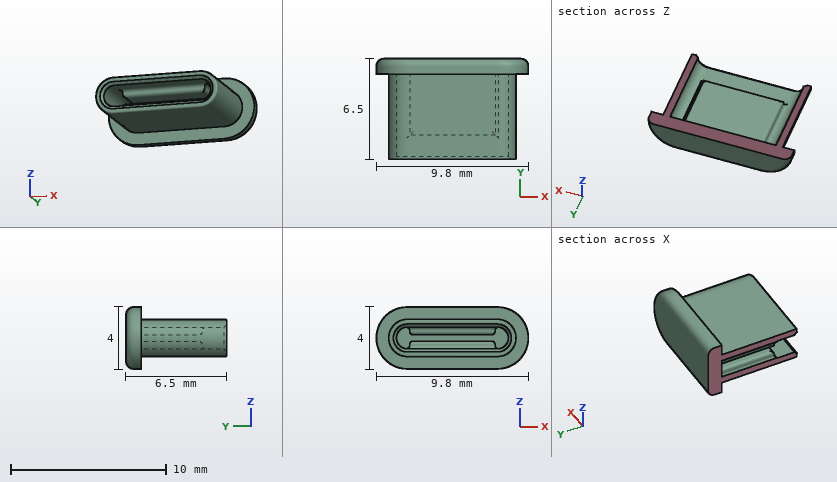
import cadquery as cq
import math

straight_length = 5.8

cap_height = 4.0
cap_thickness = 1.0
cap_edge_radius = 0.5

body_height = 2.4
body_length = 5.5
body_edge_radius = 0.1
mouth_y = -body_length

wall_thickness = 0.5
mouth_chamfer = 0.2
mouth_taper_angle = 45
cavity_height = body_height - 2 * wall_thickness
mouth_height = cavity_height + 2 * mouth_chamfer
cavity_depth = body_length

rib_gap = 0.4
rib_width = 5.5
rib_root_radius = 0.23
rib_crest_radius = 0.23
rib_front_offset = 1.6
rib_height = (cavity_height - rib_gap) / 2
rib_front_y = mouth_y + rib_front_offset
rib_base_thickness = wall_thickness / 2

rib_back_y = mouth_y + cavity_depth + rib_crest_radius
rib_depth = rib_back_y - rib_front_y
rib_center_y = (rib_front_y + rib_back_y) / 2


def slot_prism(height, start_y, length, taper=0):
    """Slot outline of the given height, extruded toward +Y from start_y."""
    return (
        cq.Workplane("XZ", origin=(0, start_y, 0))
        .slot2D(straight_length + height, height)
        .extrude(-length, taper=taper)
    )


def make_cap():
    cap = slot_prism(cap_height, 0, cap_thickness)
    return cap.faces(">Y").edges().fillet(cap_edge_radius)


def make_body():
    body = slot_prism(body_height, mouth_y, body_length)
    return body.faces("<Y").edges().fillet(body_edge_radius)


def make_cavity():
    """Cavity cutter, tapered outward at the mouth."""
    bore = slot_prism(cavity_height, mouth_y, cavity_depth)
    mouth = slot_prism(mouth_height, mouth_y, mouth_chamfer, mouth_taper_angle)
    return bore.union(mouth)


def rib_section(plane, span):
    """Closed outline of the lower rib across one direction: flared root, flat flanks, rounded crest.

    Local X runs along the span, local Y is Z, and the base is buried in the cavity wall.
    """
    half_span = span / 2
    half_root = half_span + rib_root_radius
    half_crest = half_span - rib_crest_radius
    wall_z = -cavity_height / 2
    crest_z = wall_z + rib_height
    root_top_z = wall_z + rib_root_radius
    crest_start_z = crest_z - rib_crest_radius
    base_z = wall_z - rib_base_thickness

    diagonal = math.sqrt(0.5)
    root_mid_x = half_root - rib_root_radius * diagonal
    root_mid_z = root_top_z - rib_root_radius * diagonal
    crest_mid_x = half_crest + rib_crest_radius * diagonal
    crest_mid_z = crest_start_z + rib_crest_radius * diagonal

    return (
        plane.moveTo(-half_root, base_z)
        .lineTo(half_root, base_z)
        .lineTo(half_root, wall_z)
        .threePointArc((root_mid_x, root_mid_z), (half_span, root_top_z))
        .lineTo(half_span, crest_start_z)
        .threePointArc((crest_mid_x, crest_mid_z), (half_crest, crest_z))
        .lineTo(-half_crest, crest_z)
        .threePointArc((-crest_mid_x, crest_mid_z), (-half_span, crest_start_z))
        .lineTo(-half_span, root_top_z)
        .threePointArc((-root_mid_x, root_mid_z), (-half_root, wall_z))
        .close()
    )


def make_lower_rib():
    """Intersect the sections along X and along Y, so their rounded edges meet in mitres."""
    center = (0, rib_center_y, 0)
    half_width = rib_width / 2 + rib_root_radius
    half_depth = rib_depth / 2 + rib_root_radius
    section_along_x = rib_section(cq.Workplane("XZ", origin=center), rib_width)
    section_along_y = rib_section(cq.Workplane("YZ", origin=center), rib_depth)
    return section_along_x.extrude(half_depth, both=True).intersect(
        section_along_y.extrude(half_width, both=True)
    )


lower_rib = make_lower_rib()
upper_rib = lower_rib.mirror("XY")
shell = make_cap().union(make_body()).cut(make_cavity())
result = shell.union(lower_rib).union(upper_rib)